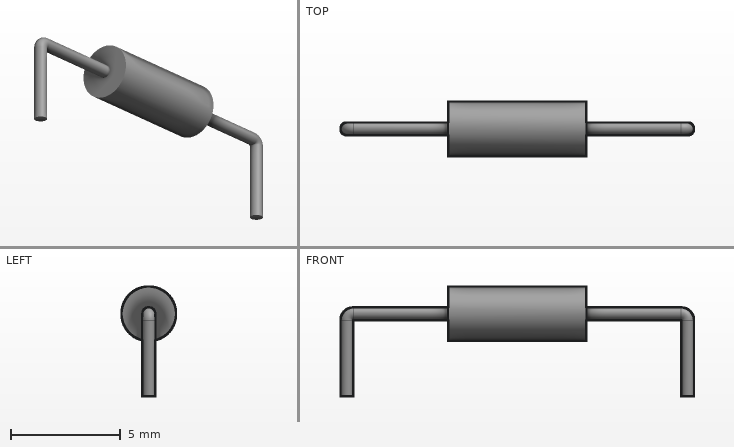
import cadquery as cq

SPAN = 16.1
HEIGHT = 5.0
BODY_DIAMETER = 2.5
BODY_LENGTH = 6.3
LEAD_DIAMETER = 0.6

LEAD_RADIUS = LEAD_DIAMETER / 2
INNER_BEND_RADIUS = 0.003
BEND_RADIUS = LEAD_RADIUS + INNER_BEND_RADIUS

FACE_X = BODY_LENGTH / 2
LEG_X = SPAN / 2 - LEAD_RADIUS
BEND_START_X = LEG_X - BEND_RADIUS
LEG_BOTTOM_Z = BODY_DIAMETER / 2 - HEIGHT
LEG_LENGTH = -BEND_RADIUS - LEG_BOTTOM_Z


def make_body():
    """Plain cylinder lying along X."""
    return (
        cq.Workplane("YZ")
        .workplane(offset=-FACE_X)
        .circle(BODY_DIAMETER / 2)
        .extrude(BODY_LENGTH)
    )


def make_lead(side):
    """Round wire from one body end face, bent down to a vertical leg; side is +1 or -1 along X."""
    arm = (
        cq.Workplane("YZ")
        .workplane(offset=side * FACE_X)
        .circle(LEAD_RADIUS)
        .extrude(side * (BEND_START_X - FACE_X))
    )
    bend = (
        cq.Workplane("YZ")
        .workplane(offset=side * BEND_START_X)
        .circle(LEAD_RADIUS)
        .revolve(90, (0, -BEND_RADIUS), (side, -BEND_RADIUS))
    )
    leg = (
        cq.Workplane("XY")
        .workplane(offset=LEG_BOTTOM_Z)
        .center(side * LEG_X, 0)
        .circle(LEAD_RADIUS)
        .extrude(LEG_LENGTH)
    )
    return arm.union(bend).union(leg)


body = make_body()
leads = [make_lead(side) for side in (-1, 1)]

result = cq.Compound.makeCompound([body.val(), *[lead.val() for lead in leads]])